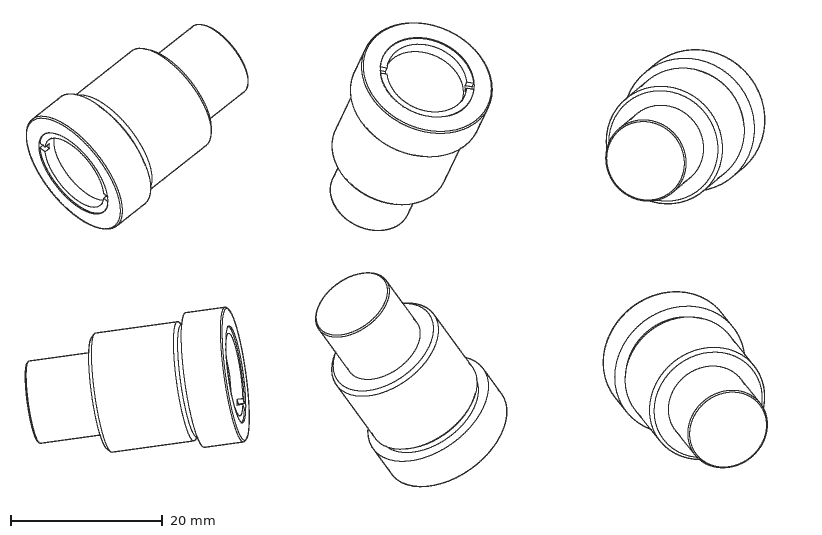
import cadquery as cq

total_length = 27.3

flange_diameter = 18.0
flange_length = 5.5
flange_chamfer = 0.2

groove_diameter = 15.0
groove_width = 0.8

body_diameter = 15.92
body_end = 18.3
body_front_chamfer = (body_diameter - groove_diameter) / 2
body_rear_chamfer = 0.5

barrel_diameter = 11.0
barrel_chamfer = 0.2

ring_outer_diameter = 12.9
ring_inner_diameter = 11.0
ring_recess = 0.2
slot_width = 1.0
slot_depth = 0.8

lens_rim_depth = 1.85
lens_rise = 0.82


def cylinder(diameter, start, end):
    """Solid cylinder on the Y axis from Y = start to Y = end."""
    plane = cq.Workplane("XZ", origin=(0, end, 0))
    return plane.circle(diameter / 2).extrude(end - start)


def make_housing():
    """Flange, groove, body and barrel as one stepped turning."""
    flange = cylinder(flange_diameter, 0, flange_length).faces("<Y").chamfer(flange_chamfer)
    body_start = flange_length + groove_width
    groove = cylinder(groove_diameter, flange_length, body_start)
    body = cylinder(body_diameter, body_start, body_end)
    body = body.faces("<Y").chamfer(body_front_chamfer)
    body = body.faces(">Y").chamfer(body_rear_chamfer)
    barrel = cylinder(barrel_diameter, body_end, total_length).faces(">Y").chamfer(barrel_chamfer)
    return flange.union(groove).union(body).union(barrel)


def make_lens_bore():
    """Bore through the ring, its floor pushed in by the convex lens."""
    rim_radius = ring_inner_diameter / 2
    lens_radius = (rim_radius**2 + lens_rise**2) / (2 * lens_rise)
    lens_centre = lens_rim_depth - lens_rise + lens_radius
    lens = cq.Workplane("XY").sphere(lens_radius).translate((0, lens_centre, 0))
    return cylinder(ring_inner_diameter, 0, lens_rim_depth).cut(lens)


def make_spanner_slots():
    """Slot across the ring, limited to the ring's outer diameter."""
    slot_end = ring_recess + slot_depth
    bar = cq.Workplane("XY").box(ring_outer_diameter, slot_end, slot_width)
    bar = bar.translate((0, slot_end / 2, 0))
    return bar.intersect(cylinder(ring_outer_diameter, 0, slot_end))


result = (
    make_housing()
    .cut(cylinder(ring_outer_diameter, 0, ring_recess))
    .cut(make_lens_bore())
    .cut(make_spanner_slots())
)